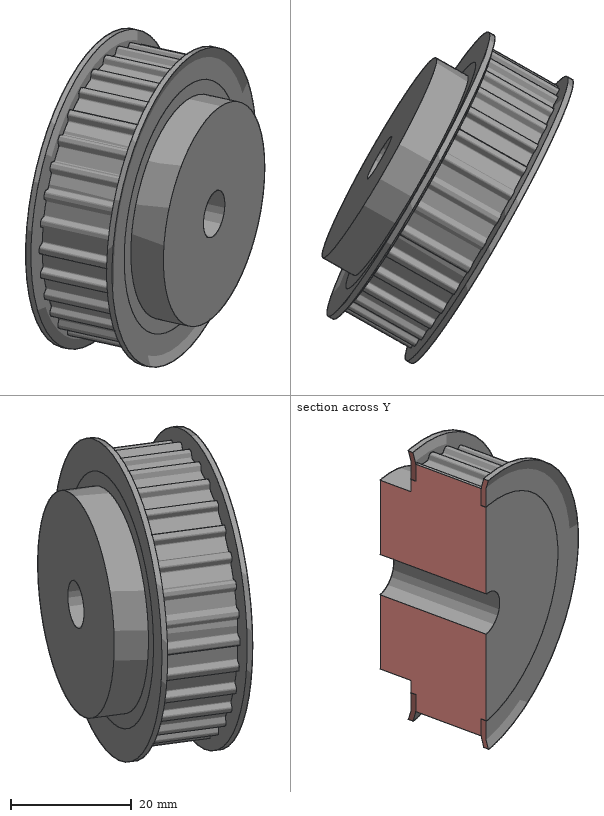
import cadquery as cq
import math


tooth_count = 32
tip_radius = 24.85
tooth_depth = 1.15
root_radius = tip_radius - tooth_depth
pulley_width = 15.0
hub_length = 6.0
hub_diameter = 38.0
bore_diameter = 8.0

tip_half_width = 0.60
groove_half_angle = 25.0
flank_angle = groove_half_angle - 180 / tooth_count
tip_round = 0.5
root_round = 0.3

flange_diameter = 54.0
seat_diameter = 43.0
flange_thickness = 1.0
flare_angle = 15.0
flare_run = 1.75
flare_rise = flare_run * math.tan(math.radians(flare_angle))

body_start = flare_rise
teeth_start = body_start + flange_thickness
pulley_end = body_start + pulley_width
hub_end = pulley_end + hub_length
teeth_end = pulley_end - flange_thickness
teeth_middle = (teeth_start + teeth_end) / 2


def rod(diameter, start, end):
    """Solid cylinder on the X axis."""
    return cq.Workplane("YZ", origin=(start, 0, 0)).circle(diameter / 2).extrude(end - start)


def polar(radius, angle):
    """Point in the YZ plane at an angle in radians from +Y."""
    return (radius * math.cos(angle), radius * math.sin(angle))


def round_corners(rim):
    """Round the root and tip corners of every tooth."""
    middle_radius = (tip_radius + root_radius) / 2
    roots = []
    tips = []
    for corner in rim.edges("|X").vals():
        place = corner.Center()
        is_root = math.hypot(place.y, place.z) < middle_radius
        if is_root:
            roots.append(corner)
        else:
            tips.append(corner)
    rounded_roots = rim.val().fillet(root_round, roots)
    return cq.Workplane(rounded_roots.fillet(tip_round, tips))


def make_toothed_rim():
    """Ring of teeth with rounded tips and roots."""
    pitch = 2 * math.pi / tooth_count
    half_pitch = pitch / 2
    tip_angle = math.asin(tip_half_width / tip_radius)
    root_half_width = tip_half_width + tooth_depth * math.tan(math.radians(flank_angle))
    root_angle = math.asin(root_half_width / root_radius)

    outline = cq.Workplane("YZ", origin=(teeth_start, 0, 0)).moveTo(*polar(root_radius, -root_angle))
    for tooth in range(tooth_count):
        center = tooth * pitch
        outline = (
            outline.lineTo(*polar(tip_radius, center - tip_angle))
            .threePointArc(polar(tip_radius, center), polar(tip_radius, center + tip_angle))
            .lineTo(*polar(root_radius, center + root_angle))
            .threePointArc(
                polar(root_radius, center + half_pitch),
                polar(root_radius, center + pitch - root_angle),
            )
        )
    rim = outline.close().extrude(teeth_end - teeth_start)

    return round_corners(rim)


def make_body():
    """Toothed rim, flange seats and hub in one piece, with a through bore."""
    seats = rod(seat_diameter, body_start, pulley_end)
    hub = rod(hub_diameter, pulley_end, hub_end)
    bore = rod(bore_diameter, body_start, hub_end)
    return make_toothed_rim().union(seats).union(hub).cut(bore)


def make_flange():
    """Flat ring on the -X seat, its rim flared away from the teeth in a cone."""
    seat_radius = seat_diameter / 2
    rim_radius = flange_diameter / 2
    bend_radius = rim_radius - flare_run
    section = [
        (body_start, seat_radius),
        (body_start, bend_radius),
        (0, rim_radius),
        (flange_thickness, rim_radius),
        (teeth_start, bend_radius),
        (teeth_start, seat_radius),
    ]
    return cq.Workplane("XY").polyline(section).close().revolve(360, (0, 0, 0), (1, 0, 0))


body = make_body()
near_flange = make_flange()
flanges = [near_flange, near_flange.mirror("YZ", (teeth_middle, 0, 0))]

result = cq.Compound.makeCompound([body.val(), *[flange.val() for flange in flanges]])